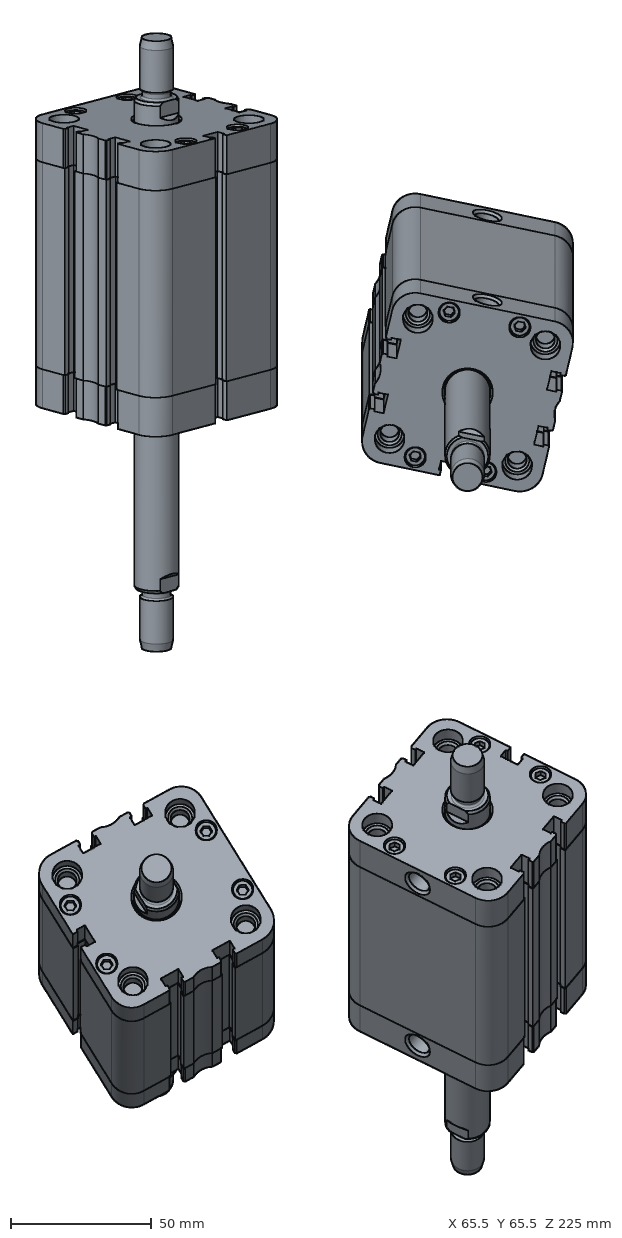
import cadquery as cq
import math


total_length = 225.0
housing_width = 65.5
housing_length = 105.0
cap_length = 14.5
corner_radius = 8.3
upper_rod_reach = 30.2
lower_rod_reach = total_length - housing_length - upper_rod_reach
half_width = housing_width / 2

slot_offset = 10.5
slot_depth = 5.5
lip_depth = 2.0
barrel_mouth_width = 5.2
barrel_slot_width = 6.8
cap_slot_widening = 0.5
mouth_chamfer = 0.5

groove_radius = 7.9
groove_chord = 7.6

mount_offset = 23.2
mount_bore_diameter = 10.5
mount_bore_depth = 5.5
mount_seat_diameter = 8.5
mount_hole_diameter = 6.8
mount_hole_depth = 11.2

screw_offset_x = 28.0
screw_offset_y = 12.8
screw_recess_diameter = 7.6
screw_floor_diameter = 6.8
screw_recess_depth = 0.7
socket_across_flats = 3.5
socket_depth = 2.2

port_height = 7.9
port_mouth_diameter = 10.5
port_diameter = 8.5
port_chamfer = (port_mouth_diameter - port_diameter) / 2
port_depth = 6.8
passage_diameter = 3.5
passage_drop = 2.0
passage_depth = 4.5

rod_diameter = 16.0
rod_relief_mouth_diameter = 18.0
rod_relief_diameter = 16.6
rod_relief_depth = 1.4
thread_diameter = 12.0
thread_length = 19.0
tip_diameter = 10.5
tip_length = 3.2
neck_diameter = 10.1
neck_length = 3.2
neck_fillet = 0.79
shoulder_diameter = 14.6
shoulder_chamfer_length = 1.1
flats_width = 13.0
flats_length = 5.5


def slot_cutter(length, mouth_width, slot_width):
    """T-slot opening in the +Y face, centred on x = 0."""
    lip_y = half_width - lip_depth
    floor_y = half_width - slot_depth
    return (
        cq.Workplane("XY")
        .moveTo(-mouth_width / 2, half_width)
        .lineTo(-mouth_width / 2, lip_y)
        .lineTo(-slot_width / 2, lip_y)
        .lineTo(-slot_width / 2, floor_y)
        .lineTo(slot_width / 2, floor_y)
        .lineTo(slot_width / 2, lip_y)
        .lineTo(mouth_width / 2, lip_y)
        .lineTo(mouth_width / 2, half_width)
        .close()
        .extrude(length)
    )


def groove_cutter(length):
    """Round groove along the middle of the +Y face."""
    centre_y = half_width + math.sqrt(groove_radius**2 - (groove_chord / 2) ** 2)
    return cq.Workplane("XY").center(0, centre_y).circle(groove_radius).extrude(length)


def profile_block(length, widening):
    """Square block with rounded corners, slots, grooves and the through hole for the rod."""
    mouth_width = barrel_mouth_width + widening
    slot_width = barrel_slot_width + widening
    block = (
        cq.Workplane("XY")
        .rect(housing_width, housing_width)
        .extrude(length)
        .edges("|Z")
        .fillet(corner_radius)
    )
    slot = slot_cutter(length, mouth_width, slot_width)
    block = block.cut(slot.rotate((0, 0, 0), (0, 0, 1), -90))
    for turn in (0, 180):
        for side in (-1, 1):
            shifted = slot.translate((side * slot_offset, 0, 0))
            block = block.cut(shifted.rotate((0, 0, 0), (0, 0, 1), turn))
        block = block.cut(groove_cutter(length).rotate((0, 0, 0), (0, 0, 1), turn))
    rod_hole = cq.Workplane("XY").circle(rod_diameter / 2).extrude(length)
    return block.cut(rod_hole)


def chamfer_slot_mouths(cap):
    """Chamfer the outer edges of the front and back slots."""
    for y_side in (-1, 1):
        for x_side in (-1, 1):
            for edge_side in (-1, 1):
                x = x_side * slot_offset + edge_side * (barrel_mouth_width + cap_slot_widening) / 2
                mouth_edge = cq.selectors.NearestToPointSelector((x, y_side * half_width, cap_length / 2))
                cap = cap.edges("|Z").edges(mouth_edge).chamfer(mouth_chamfer)
    return cap


def countersink(top_diameter, bottom_diameter, depth, top_z):
    """Cone narrowing downwards from top_z on the Z axis."""
    down = cq.Vector(0, 0, -1)
    cone = cq.Solid.makeCone(top_diameter / 2, bottom_diameter / 2, depth, cq.Vector(0, 0, top_z), down)
    return cq.Workplane(cone)


def hole(diameter, depth):
    """Blind hole sunk from the upper face of the cap on the Z axis."""
    return cq.Workplane("XY").workplane(offset=cap_length).circle(diameter / 2).extrude(-depth)


def cut_at_corners(cap, cutter, offset_x, offset_y):
    """Cut the same shape at the four corners of a rectangle around the rod axis."""
    for x in (-offset_x, offset_x):
        for y in (-offset_y, offset_y):
            cap = cap.cut(cutter.translate((x, y, 0)))
    return cap


def mounting_hole_cutter():
    """Counterbore with a chamfered smaller hole below it."""
    seat_z = cap_length - mount_bore_depth
    seat_chamfer = (mount_seat_diameter - mount_hole_diameter) / 2
    bore = hole(mount_bore_diameter, mount_bore_depth)
    seat = countersink(mount_seat_diameter, mount_hole_diameter, seat_chamfer, seat_z)
    return bore.union(hole(mount_hole_diameter, mount_hole_depth)).union(seat)


def screw_recess_cutter():
    """Tapered recess with a hexagon socket in its floor."""
    floor_z = cap_length - screw_recess_depth
    socket_across_corners = socket_across_flats / math.cos(math.pi / 6)
    socket = (
        cq.Workplane("XY")
        .polygon(6, socket_across_corners)
        .extrude(-socket_depth)
        .rotate((0, 0, 0), (0, 0, 1), 90)
        .translate((0, 0, floor_z))
    )
    recess = countersink(screw_recess_diameter, screw_floor_diameter, screw_recess_depth, cap_length)
    return recess.union(socket)


def rod_relief_cutter():
    """Chamfered clearance around the rod where it leaves the cap."""
    chamfer = (rod_relief_mouth_diameter - rod_relief_diameter) / 2
    mouth = countersink(rod_relief_mouth_diameter, rod_relief_diameter, chamfer, cap_length)
    return hole(rod_relief_diameter, rod_relief_depth).union(mouth)


def cut_end_face(cap):
    """Mounting holes, screw recesses and rod relief in the upper face of the cap."""
    cap = cut_at_corners(cap, mounting_hole_cutter(), mount_offset, mount_offset)
    cap = cut_at_corners(cap, screw_recess_cutter(), screw_offset_x, screw_offset_y)
    return cap.cut(rod_relief_cutter())


def cut_port(cap):
    """Chamfered blind port in the -X face with a small passage in its floor."""
    port_z = cap_length - port_height
    port = (
        cq.Workplane("YZ", origin=(-half_width, 0, port_z))
        .circle(port_diameter / 2)
        .extrude(port_depth)
    )
    mouth = cq.Solid.makeCone(
        port_mouth_diameter / 2,
        port_diameter / 2,
        port_chamfer,
        cq.Vector(-half_width, 0, port_z),
        cq.Vector(1, 0, 0),
    )
    passage = (
        cq.Workplane("YZ", origin=(-half_width + port_depth, 0, port_z - passage_drop))
        .circle(passage_diameter / 2)
        .extrude(passage_depth)
    )
    return cap.cut(port).cut(cq.Workplane(mouth)).cut(passage)


def make_upper_cap():
    cap = profile_block(cap_length, cap_slot_widening)
    cap = chamfer_slot_mouths(cap)
    cap = cut_end_face(cap)
    cap = cut_port(cap)
    return cap.translate((0, 0, housing_length - cap_length))


def make_lower_cap():
    """Mirror image of the upper cap about the middle of the housing."""
    return make_upper_cap().mirror("XY").translate((0, 0, housing_length))


def make_barrel():
    barrel_length = housing_length - 2 * cap_length
    return profile_block(barrel_length, 0).translate((0, 0, cap_length))


def rod_half(reach):
    """Rod from z = 0 up to a threaded tip at z = reach."""
    thread_z = reach - thread_length
    shoulder_z = thread_z - neck_length
    neck_radius = neck_diameter / 2
    blend_diagonal = neck_fillet * (1 - math.sqrt(0.5))
    blend_x = neck_radius + blend_diagonal
    half = (
        cq.Workplane("XZ")
        .lineTo(rod_diameter / 2, 0)
        .lineTo(rod_diameter / 2, shoulder_z - shoulder_chamfer_length)
        .lineTo(shoulder_diameter / 2, shoulder_z)
        .lineTo(neck_radius + neck_fillet, shoulder_z)
        .threePointArc((blend_x, shoulder_z + blend_diagonal), (neck_radius, shoulder_z + neck_fillet))
        .lineTo(neck_radius, thread_z - neck_fillet)
        .threePointArc((blend_x, thread_z - blend_diagonal), (neck_radius + neck_fillet, thread_z))
        .lineTo(thread_diameter / 2, thread_z)
        .lineTo(thread_diameter / 2, reach - tip_length)
        .lineTo(tip_diameter / 2, reach)
        .lineTo(0, reach)
        .close()
        .revolve(360, (0, 0, 0), (0, 1, 0))
    )
    flat_run_out = (rod_diameter - flats_width) / 2
    flat_end_z = shoulder_z - flats_length
    flat = (
        cq.Workplane("XZ")
        .moveTo(flats_width / 2, shoulder_z)
        .lineTo(flats_width / 2, flat_end_z)
        .lineTo(rod_diameter / 2, flat_end_z - flat_run_out)
        .lineTo(rod_diameter / 2, shoulder_z)
        .close()
        .extrude(rod_diameter / 2, both=True)
    )
    return half.cut(flat).cut(flat.mirror("YZ"))


def make_rod():
    middle_z = housing_length / 2
    upper = rod_half(middle_z + upper_rod_reach)
    lower = rod_half(middle_z + lower_rod_reach).mirror("XY")
    return upper.union(lower).translate((0, 0, middle_z))


upper_cap = make_upper_cap()
lower_cap = make_lower_cap()
barrel = make_barrel()
rod = make_rod()

result = cq.Compound.makeCompound([upper_cap.val(), lower_cap.val(), barrel.val(), rod.val()])